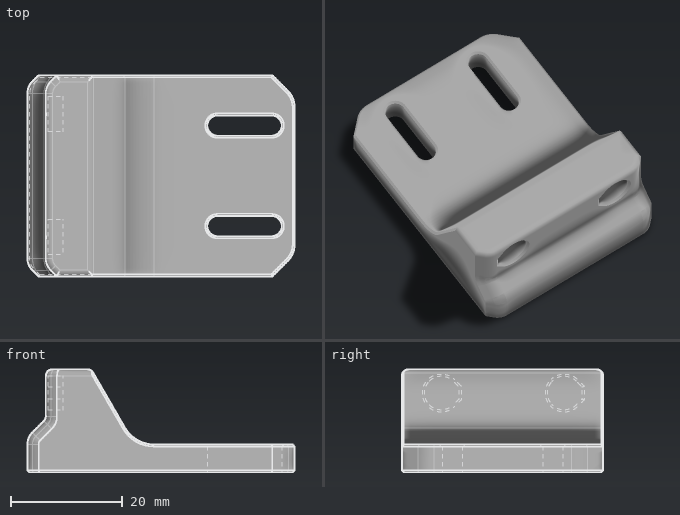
import cadquery as cq
import math

LENGTH = 47.85
WIDTH = 36.0
HEIGHT = 18.45
PLATE_THICKNESS = 5.0

STEP_DEPTH = 3.3
STEP_TOP = 9.55
STEP_OUTER_RADIUS = 3.0
STEP_INNER_RADIUS = 1.2
BACK_TOP_X = 11.45
BACK_ANGLE = 60.0
BACK_FOOT_RADIUS = 6.0

FRONT_CORNER_CHAMFER = 2.0
FRONT_CORNER_RADIUS = 2.95
REAR_CORNER_CHAMFER = 4.0
REAR_CORNER_RADIUS = 4.0
TOP_RADIUS = 1.2
EDGE_CHAMFER = 0.4

SLOT_WIDTH = 3.6
SLOT_START_X = 34.0
SLOT_END_X = 43.73
SLOT_OFFSET_Y = 9.0

HOLE_RADIUS = 3.0
HOLE_FLAT = 3.2
HOLE_Z = 14.25
HOLE_OFFSET_Y = 11.0
HOLE_DEPTH = 3.0

SIDE_Y = WIDTH / 2
BEVEL_ANGLE = 45.0
RIM_CUT_DEPTH = 2 * EDGE_CHAMFER
MARGIN = 0.005


def edges_in_box(body, x_range, z_range):
    """Edges at any Y that lie inside the given X and Z ranges."""
    low = (x_range[0] - MARGIN, -SIDE_Y - MARGIN, z_range[0] - MARGIN)
    high = (x_range[1] + MARGIN, SIDE_Y + MARGIN, z_range[1] + MARGIN)
    return body.edges(cq.selectors.BoxSelector(low, high, boundingbox=True))


def make_body():
    """Side profile extruded over the width, with its step and back foot rounded."""
    back_run = (HEIGHT - PLATE_THICKNESS) / math.tan(math.radians(BACK_ANGLE))
    back_foot_x = BACK_TOP_X + back_run
    step_bottom = STEP_TOP - STEP_DEPTH
    body = (
        cq.Workplane("XZ")
        .polyline([
            (0, 0),
            (LENGTH, 0),
            (LENGTH, PLATE_THICKNESS),
            (back_foot_x, PLATE_THICKNESS),
            (BACK_TOP_X, HEIGHT),
            (STEP_DEPTH, HEIGHT),
            (STEP_DEPTH, STEP_TOP),
            (0, step_bottom),
        ])
        .close()
        .extrude(SIDE_Y, both=True)
    )
    for x, z, radius in (
        (0, step_bottom, STEP_OUTER_RADIUS),
        (STEP_DEPTH, STEP_TOP, STEP_INNER_RADIUS),
        (back_foot_x, PLATE_THICKNESS, BACK_FOOT_RADIUS),
    ):
        body = body.edges(cq.selectors.NearestToPointSelector((x, 0, z))).fillet(radius)
    return body


def shape_corners(body):
    """Bevel the corners, then round each bevel into the front or rear face."""
    front_edges = edges_in_box(body, (0, STEP_DEPTH), (0, HEIGHT)).edges("not |Y")
    body = front_edges.chamfer(FRONT_CORNER_CHAMFER)
    body = body.edges("|Z and >X").chamfer(REAR_CORNER_CHAMFER)
    body = body.edges("|Z and <X").fillet(FRONT_CORNER_RADIUS)
    return body.edges("|Z and >X").fillet(REAR_CORNER_RADIUS)


def shape_edges(body):
    """Chamfer the bottom, the plate and the sides of the back slope, and round the top.

    The chamfered and the rounded body are made separately; their common part has both.
    """
    body = body.faces("<Z").edges().chamfer(EDGE_CHAMFER)
    plate_top = body.faces("+Z").faces("<Z")
    chamfered = plate_top.edges("not(|Y and <X)").chamfer(EDGE_CHAMFER)
    rounded = body.faces(">Z").edges().fillet(TOP_RADIUS)
    return rounded.intersect(chamfered)


def cut_slots(body):
    """Two slots along X, chamfered on the upper side of the plate."""
    length = SLOT_END_X - SLOT_START_X + SLOT_WIDTH
    centers = [((SLOT_START_X + SLOT_END_X) / 2, y) for y in (-SLOT_OFFSET_Y, SLOT_OFFSET_Y)]
    slots = cq.Workplane("XY").pushPoints(centers).slot2D(length, SLOT_WIDTH).extrude(PLATE_THICKNESS)
    rims = (
        cq.Workplane("XY")
        .workplane(offset=PLATE_THICKNESS)
        .pushPoints(centers)
        .slot2D(length + 2 * EDGE_CHAMFER, SLOT_WIDTH + 2 * EDGE_CHAMFER)
        .extrude(-RIM_CUT_DEPTH, taper=BEVEL_ANGLE)
    )
    return body.cut(slots).cut(rims)


def hole_section(x, y, growth):
    """Circle drawn out at 45 degrees into a flat on the +Y side, grown outward by growth."""
    radius = HOLE_RADIUS + growth
    flat = HOLE_FLAT + growth
    tangent = radius * math.sqrt(0.5)
    half_flat = 2 * tangent - flat
    return (
        cq.Workplane("YZ", origin=(x, y, HOLE_Z))
        .moveTo(tangent, tangent)
        .threePointArc((-radius, 0), (tangent, -tangent))
        .lineTo(flat, -half_flat)
        .lineTo(flat, half_flat)
        .close()
    )


def cut_holes(body):
    """Blind holes along X into the upper front wall, with chamfered mouths."""
    for y in (-HOLE_OFFSET_Y, HOLE_OFFSET_Y):
        body = body.cut(hole_section(STEP_DEPTH, y, 0).extrude(HOLE_DEPTH))
        mouth = hole_section(STEP_DEPTH, y, EDGE_CHAMFER).extrude(RIM_CUT_DEPTH, taper=BEVEL_ANGLE)
        body = body.cut(mouth)
    return body


result = cut_holes(cut_slots(shape_edges(shape_corners(make_body()))))